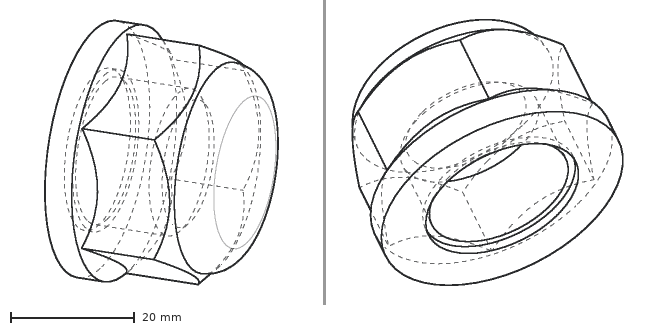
import cadquery as cq
import math

total_length = 26.0
flange_diameter = 42.0
flange_thickness = 4.75
hex_across_flats = 35.65
hex_turn = -0.6
collar_start = 21.2
collar_radius = 17.25

recess_diameter = 26.55
recess_depth = 1.45
bore_diameter = 24.1
bore_floor_diameter = 20.9
bore_depth = 14.4
bore_cone_length = 1.6

flange_radius = flange_diameter / 2
hex_corner_diameter = hex_across_flats / math.cos(math.pi / 6)
hex_corner_radius = hex_corner_diameter / 2
round_radius = total_length - collar_start
top_radius = collar_radius - round_radius
arc_offset = round_radius * math.sqrt(0.5)

hex_chamfer_start = collar_start - (hex_corner_radius - collar_radius)
flange_cone_end = flange_thickness + flange_radius - collar_radius


def revolve_about_x(profile):
    return profile.close().revolve(360, (0, 0, 0), (1, 0, 0))


def make_flange():
    profile = (
        cq.Workplane("XY")
        .lineTo(0, flange_radius)
        .lineTo(flange_thickness, flange_radius)
        .lineTo(flange_cone_end, collar_radius)
        .lineTo(flange_cone_end, 0)
    )
    return revolve_about_x(profile)


def make_body_envelope():
    """Turned limit of the hexagon: corner chamfer and rounded collar."""
    profile = (
        cq.Workplane("XY")
        .lineTo(0, hex_corner_radius)
        .lineTo(hex_chamfer_start, hex_corner_radius)
        .lineTo(collar_start, collar_radius)
        .threePointArc(
            (collar_start + arc_offset, top_radius + arc_offset),
            (total_length, top_radius),
        )
        .lineTo(total_length, 0)
    )
    return revolve_about_x(profile)


def make_hexagon():
    return (
        cq.Workplane("YZ")
        .polygon(6, hex_corner_diameter)
        .extrude(total_length)
        .rotate((0, 0, 0), (1, 0, 0), 30 + hex_turn)
    )


def make_bore():
    profile = (
        cq.Workplane("XY")
        .lineTo(0, recess_diameter / 2)
        .lineTo(recess_depth, recess_diameter / 2)
        .lineTo(recess_depth, bore_diameter / 2)
        .lineTo(bore_depth, bore_diameter / 2)
        .lineTo(bore_depth + bore_cone_length, bore_floor_diameter / 2)
        .lineTo(bore_depth + bore_cone_length, 0)
    )
    return revolve_about_x(profile)


body = make_hexagon().intersect(make_body_envelope())
result = body.union(make_flange()).cut(make_bore())